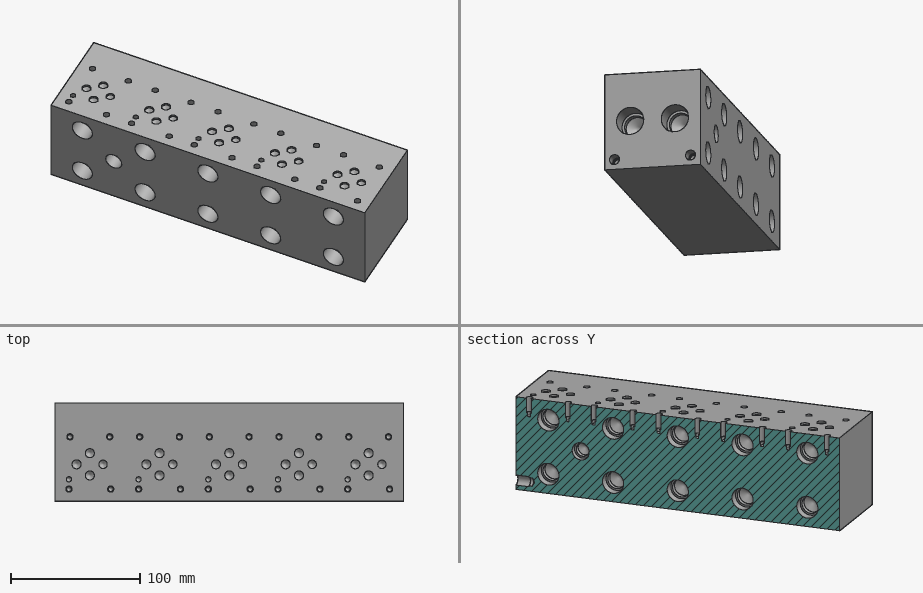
import cadquery as cq
import math

LENGTH = 270.0
WIDTH = 76.0
HEIGHT = 76.0

TIP_ANGLE = math.radians(118)

STATION_COUNT = 5
FIRST_STATION_X = 27.0
STATION_PITCH = 54.0
STATION_XS = [FIRST_STATION_X + i * STATION_PITCH for i in range(STATION_COUNT)]

WORK_THREAD_DIA = 17.3
WORK_DRILL_DIA = 14.3
WORK_THREAD_DEPTH = 14.8
WORK_DRILL_DEPTH = 19.0
PORT_A_Z = 16.0
PORT_B_Z = HEIGHT - PORT_A_Z

GAUGE_THREAD_DIA = 13.8
GAUGE_DRILL_DIA = 10.8
GAUGE_THREAD_DEPTH = 12.1
GAUGE_DRILL_DEPTH = 16.2
GAUGE_X = FIRST_STATION_X + STATION_PITCH / 2
GAUGE_Z = HEIGHT / 2

MAIN_THREAD_DIA = 21.5
MAIN_DRILL_DIA = 17.5
MAIN_THREAD_DEPTH = 19.0
MAIN_DRILL_DEPTH = 24.3
PRESSURE_Y = 20.2
TANK_Y = WIDTH - PRESSURE_Y
MAIN_Z = HEIGHT / 2

MOUNT_THREAD_DIA = 7.8
MOUNT_DRILL_DIA = 6.5
MOUNT_THREAD_DEPTH = 10.8
MOUNT_DRILL_DEPTH = 13.5
MOUNT_INSET_Y = 7.8
MOUNT_Z = MOUNT_INSET_Y

FLOW_DIA = 7.0
TANK_FLOW_DIA = 6.5
FLOW_DEPTH = 1.5
FLOW_OFFSET_X = 10.3
FLOW_OFFSET_Y = 8.6
FLOW_CENTRE_Y = 28.5
SCREW_THREAD_DIA = 4.9
SCREW_DRILL_DIA = 3.8
SCREW_THREAD_DEPTH = 12.1
SCREW_DRILL_DEPTH = 14.8
SCREW_SPAN_Y = 40.5
FRONT_SCREW_Y = 9.5
REAR_SCREW_Y = FRONT_SCREW_Y + SCREW_SPAN_Y
FRONT_SCREW_OFFSET_X = 16.2
REAR_SCREW_OFFSET_X = 15.5
PIN_DIA = 4.0
PIN_DEPTH = 5.5
PIN_TO_FRONT_SCREW = 7.5

INTO_FRONT = cq.Vector(0, 1, 0)
INTO_TOP = cq.Vector(0, 0, -1)
INTO_LEFT_END = cq.Vector(1, 0, 0)


def drilled_hole(point, direction, diameter, depth):
    """Blind round hole with a conical drill point beyond its full depth."""
    start = cq.Vector(*point)
    radius = diameter / 2
    tip_length = radius / math.tan(TIP_ANGLE / 2)
    bore = cq.Solid.makeCylinder(radius, depth, start, direction)
    tip = cq.Solid.makeCone(radius, 0, tip_length, start + direction * depth, direction)
    return bore.fuse(tip)


def stepped_hole(point, direction, thread_dia, thread_depth, drill_dia, drill_depth):
    """Drilled hole with a wider, flat-bottomed threaded length at its mouth."""
    thread = cq.Solid.makeCylinder(thread_dia / 2, thread_depth, cq.Vector(*point), direction)
    return drilled_hole(point, direction, drill_dia, drill_depth).fuse(thread)


def work_ports(x):
    """The A and B ports of one station."""
    return [
        stepped_hole(
            (x, 0, z),
            INTO_FRONT,
            WORK_THREAD_DIA,
            WORK_THREAD_DEPTH,
            WORK_DRILL_DIA,
            WORK_DRILL_DEPTH,
        )
        for z in (PORT_A_Z, PORT_B_Z)
    ]


def flow_holes(x):
    """Diamond of four flow holes; the right-hand tank hole is the smaller one."""
    holes = [
        (x - FLOW_OFFSET_X, FLOW_CENTRE_Y, FLOW_DIA),
        (x + FLOW_OFFSET_X, FLOW_CENTRE_Y, TANK_FLOW_DIA),
        (x, FLOW_CENTRE_Y - FLOW_OFFSET_Y, FLOW_DIA),
        (x, FLOW_CENTRE_Y + FLOW_OFFSET_Y, FLOW_DIA),
    ]
    return [drilled_hole((hx, hy, HEIGHT), INTO_TOP, dia, FLOW_DEPTH) for hx, hy, dia in holes]


def valve_screw_holes(x):
    """Four tapped holes, the front pair slightly wider apart than the rear pair."""
    rows = [(FRONT_SCREW_Y, FRONT_SCREW_OFFSET_X), (REAR_SCREW_Y, REAR_SCREW_OFFSET_X)]
    return [
        stepped_hole(
            (x + side * offset, y, HEIGHT),
            INTO_TOP,
            SCREW_THREAD_DIA,
            SCREW_THREAD_DEPTH,
            SCREW_DRILL_DIA,
            SCREW_DRILL_DEPTH,
        )
        for y, offset in rows
        for side in (-1, 1)
    ]


def locating_pin_hole(x):
    """Pin hole directly behind the front left screw hole."""
    point = (x - FRONT_SCREW_OFFSET_X, FRONT_SCREW_Y + PIN_TO_FRONT_SCREW, HEIGHT)
    return drilled_hole(point, INTO_TOP, PIN_DIA, PIN_DEPTH)


def gauge_port():
    return stepped_hole(
        (GAUGE_X, 0, GAUGE_Z),
        INTO_FRONT,
        GAUGE_THREAD_DIA,
        GAUGE_THREAD_DEPTH,
        GAUGE_DRILL_DIA,
        GAUGE_DRILL_DEPTH,
    )


def main_ports():
    """Pressure and tank ports, side by side."""
    return [
        stepped_hole(
            (0, y, MAIN_Z),
            INTO_LEFT_END,
            MAIN_THREAD_DIA,
            MAIN_THREAD_DEPTH,
            MAIN_DRILL_DIA,
            MAIN_DRILL_DEPTH,
        )
        for y in (PRESSURE_Y, TANK_Y)
    ]


def mounting_holes():
    return [
        stepped_hole(
            (0, y, MOUNT_Z),
            INTO_LEFT_END,
            MOUNT_THREAD_DIA,
            MOUNT_THREAD_DEPTH,
            MOUNT_DRILL_DIA,
            MOUNT_DRILL_DEPTH,
        )
        for y in (MOUNT_INSET_Y, WIDTH - MOUNT_INSET_Y)
    ]


holes = [gauge_port()] + main_ports() + mounting_holes()
for station_x in STATION_XS:
    holes += work_ports(station_x)
    holes += flow_holes(station_x)
    holes += valve_screw_holes(station_x)
    holes.append(locating_pin_hole(station_x))

block = cq.Solid.makeBox(LENGTH, WIDTH, HEIGHT)
result = cq.Workplane(obj=block.cut(*holes))